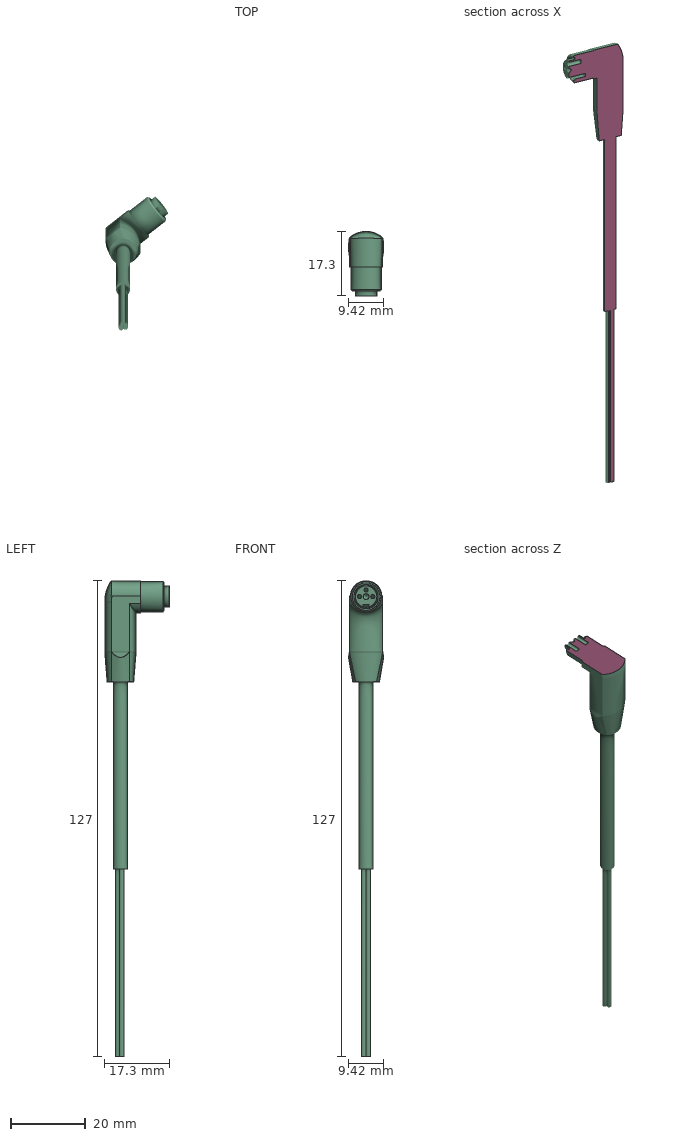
import cadquery as cq
import math


total_height = 127.0
head_radius = 4.2
bottom_z = head_radius - total_height
free_length = 50.0
jacket_end_z = bottom_z + free_length
relief_end_z = jacket_end_z + free_length
cable_diameter = 3.8
wire_diameter = 1.3
wire_spacing = 1.21
wire_count = 3

flat_half_width = 4.5
flat_half_depth = 2.4
body_half_depth = 4.2
head_flat_top_z = 0.1
head_flat_bottom_z = -1.9
head_keel_z = -4.3
grip_end_z = -14.7
crown_start_z = -1.4
crown_radius = 9.7
crown_angle = 60.0

relief_bulge = 5.0
relief_end_corner = 2.8
relief_end_half_width = 3.5
relief_end_half_depth = 3.5
shoulder_half_width = 4.7
shoulder_drop = 1.5

head_front_y = -5.3
collar_diameter = 8.1
collar_end_y = -11.7
collar_chamfer = 0.4
groove_diameter = 6.5
groove_depth = 3.8
nose_diameter = 5.7
nose_end_y = -13.1
rib_width = 1.0
rib_recess = 0.5
contact_diameter = 1.08
contact_circle_radius = 1.8
contact_depth = 3.8
dimple_diameter = 1.5
dimple_depth = 0.8
key_width = 1.5
key_depth = 0.8


def body_section(plane, corner_x, side_x, end_y):
    """Closed section of bowed front and back; the sides are flat when side_x equals corner_x."""
    sketch = plane.moveTo(-corner_x, -flat_half_depth)
    sketch = sketch.threePointArc((0, -end_y), (corner_x, -flat_half_depth))
    if side_x > corner_x:
        sketch = sketch.threePointArc((side_x, 0), (corner_x, flat_half_depth))
    else:
        sketch = sketch.lineTo(corner_x, flat_half_depth)
    sketch = sketch.threePointArc((0, end_y), (-corner_x, flat_half_depth))
    if side_x > corner_x:
        return sketch.threePointArc((-side_x, 0), (-corner_x, -flat_half_depth)).close()
    return sketch.close()


def grip_section(z):
    plane = cq.Workplane("XY", origin=(0, 0, z))
    return body_section(plane, flat_half_width, flat_half_width, body_half_depth)


def rod_along_y(diameter, start_y, end_y, x=0, z=0):
    """Round rod running toward -Y from start_y to end_y."""
    plane = cq.Workplane("XZ", origin=(x, start_y, z))
    return plane.circle(diameter / 2).extrude(start_y - end_y)


def head_bar(start_y, end_y):
    """Round bar with a flat cheek on each side and a bowed underside."""
    length = start_y - end_y
    cheeks = (
        cq.Workplane("XZ", origin=(0, start_y, 0))
        .moveTo(-flat_half_width, head_flat_top_z)
        .lineTo(flat_half_width, head_flat_top_z)
        .lineTo(flat_half_width, head_flat_bottom_z)
        .threePointArc((0, head_keel_z), (-flat_half_width, head_flat_bottom_z))
        .close()
        .extrude(length)
    )
    return rod_along_y(2 * head_radius, start_y, end_y).union(cheeks)


def make_housing():
    grip = grip_section(grip_end_z).extrude(crown_start_z - grip_end_z)
    crown_axis_y = body_half_depth - crown_radius
    crown = grip_section(crown_start_z).revolve(
        crown_angle, (0, crown_axis_y, 0), (1, crown_axis_y, 0)
    )
    head_rear = head_bar(body_half_depth, 0).intersect(crown)
    return grip.union(head_rear).union(head_bar(0, head_front_y))


def make_strain_relief():
    length = grip_end_z - relief_end_z
    top = cq.Workplane("XY", origin=(0, 0, grip_end_z))
    top = body_section(top, flat_half_width, relief_bulge, body_half_depth)
    relief = body_section(
        top.workplane(offset=-length),
        relief_end_corner,
        relief_end_half_width,
        relief_end_half_depth,
    ).loft(ruled=True)
    slope = (shoulder_half_width - flat_half_width) / shoulder_drop
    end_half_width = flat_half_width + slope * length
    envelope = (
        cq.Workplane("XZ")
        .polyline([
            (-flat_half_width, grip_end_z),
            (flat_half_width, grip_end_z),
            (end_half_width, relief_end_z),
            (-end_half_width, relief_end_z),
        ])
        .close()
        .extrude(body_half_depth, both=True)
    )
    return relief.intersect(envelope)


def make_plug_end():
    collar = rod_along_y(collar_diameter, head_front_y, collar_end_y)
    collar = collar.faces("<Y").chamfer(collar_chamfer)
    groove_floor_y = collar_end_y + groove_depth
    collar = collar.cut(rod_along_y(groove_diameter, groove_floor_y, collar_end_y))
    rib_end_y = collar_end_y + rib_recess
    for width, height in ((groove_diameter, rib_width), (rib_width, groove_diameter)):
        bar = cq.Workplane("XZ", origin=(0, groove_floor_y, 0)).rect(width, height)
        bar = bar.extrude(groove_floor_y - rib_end_y)
        bar = bar.cut(rod_along_y(nose_diameter, groove_floor_y, rib_end_y))
        collar = collar.union(bar)

    nose = rod_along_y(nose_diameter, groove_floor_y, nose_end_y)
    for angle in (0, 90, 180):
        x = contact_circle_radius * math.cos(math.radians(angle))
        z = contact_circle_radius * math.sin(math.radians(angle))
        nose = nose.cut(rod_along_y(contact_diameter, nose_end_y + contact_depth, nose_end_y, x, z))
    dimple = cq.Solid.makeCone(
        dimple_diameter / 2, 0, dimple_depth, cq.Vector(0, nose_end_y, 0), cq.Vector(0, 1, 0)
    )
    keyway = (
        cq.Workplane("XZ", origin=(0, groove_floor_y, -nose_diameter / 2))
        .rect(key_width, 2 * key_depth)
        .extrude(groove_floor_y - nose_end_y)
    )
    return collar.union(nose.cut(cq.Workplane(dimple)).cut(keyway))


def make_cable():
    jacket = (
        cq.Workplane("XY", origin=(0, 0, jacket_end_z))
        .circle(cable_diameter / 2)
        .extrude(grip_end_z - jacket_end_z)
    )
    bundle_radius = wire_spacing / (2 * math.sin(math.pi / wire_count))
    for index in range(wire_count):
        angle = math.pi / 2 + index * 2 * math.pi / wire_count
        wire = (
            cq.Workplane("XY", origin=(0, 0, bottom_z))
            .center(bundle_radius * math.cos(angle), bundle_radius * math.sin(angle))
            .circle(wire_diameter / 2)
            .extrude(free_length)
        )
        jacket = jacket.union(wire)
    return jacket


result = make_housing().union(make_strain_relief()).union(make_plug_end()).union(make_cable())